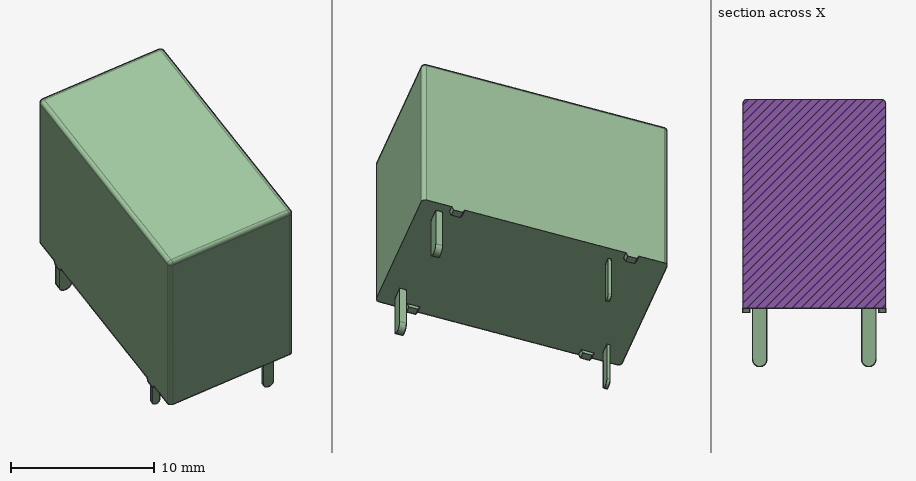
import cadquery as cq

LENGTH = 18.2
WIDTH = 10.0
TOTAL_HEIGHT = 18.69

PIN_LENGTH = 4.07
CASE_HEIGHT = TOTAL_HEIGHT - PIN_LENGTH
EDGE_RADIUS = 0.3

FOOT_SPACING = 12.9
FOOT_TOP_LENGTH = 0.97
FOOT_BOTTOM_LENGTH = 0.67
FOOT_HEIGHT = 0.3
FOOT_DEPTH = 0.5

PIN_ROW_SPACING = 7.63
END_PIN_X = 7.63
INNER_PIN_X = 5.08
COIL_PIN_WIDTH = 1.0
COIL_PIN_THICKNESS = 0.5
INNER_PIN_WIDTH = 0.6
END_CONTACT_WIDTH = 0.8
CONTACT_PIN_THICKNESS = 0.25


def make_case():
    """Box with rounded vertical and top edges and a sharp lower rim."""
    box = cq.Workplane("XY").box(LENGTH, WIDTH, CASE_HEIGHT, centered=(True, True, False))
    return box.edges("|Z or >Z").fillet(EDGE_RADIUS)


def make_foot(x, side):
    """Tapered foot flush with the long face on the given side (-1 or 1)."""
    profile = [
        (x - FOOT_TOP_LENGTH / 2, 0),
        (x - FOOT_BOTTOM_LENGTH / 2, -FOOT_HEIGHT),
        (x + FOOT_BOTTOM_LENGTH / 2, -FOOT_HEIGHT),
        (x + FOOT_TOP_LENGTH / 2, 0),
    ]
    outer_face = cq.Workplane("XZ", origin=(0, side * WIDTH / 2, 0))
    return outer_face.polyline(profile).close().extrude(side * FOOT_DEPTH)


def make_pin(x, y, width, thickness):
    """Blade in a YZ plane, hanging from the case and ending in a semicircle."""
    radius = width / 2
    tip_start = radius - PIN_LENGTH
    return (
        cq.Workplane("YZ", origin=(x, y, 0))
        .moveTo(-radius, 0)
        .lineTo(-radius, tip_start)
        .threePointArc((0, -PIN_LENGTH), (radius, tip_start))
        .lineTo(radius, 0)
        .close()
        .extrude(thickness / 2, both=True)
    )


result = make_case()

for foot_x in (-FOOT_SPACING / 2, FOOT_SPACING / 2):
    for side in (-1, 1):
        result = result.union(make_foot(foot_x, side))

for side in (-1, 1):
    pin_y = side * PIN_ROW_SPACING / 2
    result = result.union(make_pin(-END_PIN_X, pin_y, COIL_PIN_WIDTH, COIL_PIN_THICKNESS))

for pin_x, side, pin_width in ((INNER_PIN_X, -1, INNER_PIN_WIDTH), (END_PIN_X, 1, END_CONTACT_WIDTH)):
    pin_y = side * PIN_ROW_SPACING / 2
    result = result.union(make_pin(pin_x, pin_y, pin_width, CONTACT_PIN_THICKNESS))